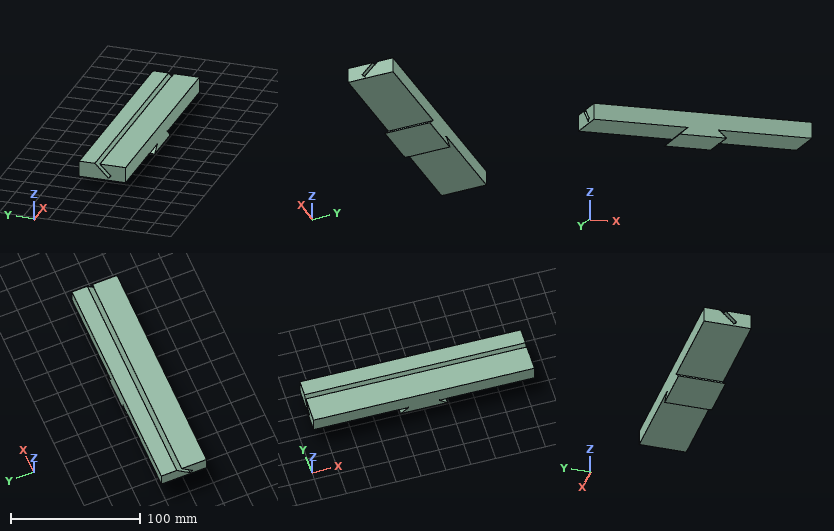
import cadquery as cq

bar_length = 177.8
bar_width = 38.0
total_height = 18.8

dovetail_height = 5.9
dovetail_base_width = bar_width
dovetail_neck_width = 24.9

slot_opening = 4.1
slot_upper_edge_y = 6.0
slot_depth = 11.0

bar_height = total_height - dovetail_height


def make_bar():
    """Rectangular bar standing on top of the dovetail."""
    return cq.Workplane("XY").workplane(offset=dovetail_height).box(
        bar_length, bar_width, bar_height, centered=(True, True, False)
    )


def make_dovetail():
    """Rail along Y, widest at its bottom face."""
    half_base = dovetail_base_width / 2
    half_neck = dovetail_neck_width / 2
    return (
        cq.Workplane("XZ")
        .polyline([
            (-half_base, 0),
            (half_base, 0),
            (half_neck, dovetail_height),
            (-half_neck, dovetail_height),
        ])
        .close()
        .extrude(bar_width / 2, both=True)
    )


def make_slot():
    """Sloping slot with a square end, running the full bar length."""
    corner_offset = slot_opening / 2
    bottom_y = slot_upper_edge_y - slot_depth
    bottom_z = total_height - slot_depth
    return (
        cq.Workplane("YZ")
        .polyline([
            (slot_upper_edge_y, total_height),
            (bottom_y, bottom_z),
            (bottom_y - corner_offset, bottom_z + corner_offset),
            (slot_upper_edge_y - slot_opening, total_height),
        ])
        .close()
        .extrude(bar_length / 2, both=True)
    )


result = make_bar().union(make_dovetail()).cut(make_slot())